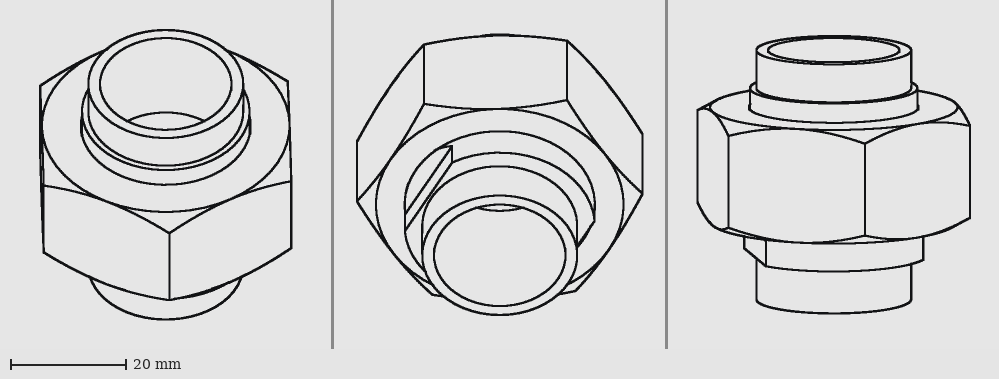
import cadquery as cq
import math


pipe_diameter = 26.9
bore_diameter = 22.85

overall_height = 44.0
lower_pipe_length = 8.0
exposed_body_height = 5.85
nut_height = 20.05
collar_rise = 3.4
nut_bottom = lower_pipe_length + exposed_body_height
nut_top = nut_bottom + nut_height
collar_top = nut_top + collar_rise

across_corners = 49.65
across_flats = across_corners * math.cos(math.radians(30))
chamfer_angle = 30.0
chamfer_drop = (across_corners - across_flats) / 2 * math.tan(math.radians(chamfer_angle))
lip_thickness = 3.95
lip_hole_diameter = 29.5
cavity_top = nut_top - lip_thickness

collar_diameter = 29.1
body_diameter = 33.0
flange_thickness = 3.95
seat_height = cavity_top - flange_thickness

flat_spacing = 28.0
flat_straight_height = 4.45
flat_runout = (body_diameter - flat_spacing) / 2


def cylinder(diameter, bottom, top):
    return cq.Workplane("XY").workplane(offset=bottom).circle(diameter / 2).extrude(top - bottom)


def make_nut():
    hexagon = (
        cq.Workplane("XY").workplane(offset=nut_bottom)
        .polygon(6, across_corners).extrude(nut_height)
    )
    envelope = (
        cq.Workplane("XZ")
        .moveTo(0, nut_bottom)
        .lineTo(across_flats / 2, nut_bottom)
        .lineTo(across_corners / 2, nut_bottom + chamfer_drop)
        .lineTo(across_corners / 2, nut_top - chamfer_drop)
        .lineTo(across_flats / 2, nut_top)
        .lineTo(0, nut_top)
        .close()
        .revolve(360, (0, 0, 0), (0, 1, 0))
    )
    cavity = cylinder(body_diameter, nut_bottom, cavity_top)
    lip_hole = cylinder(lip_hole_diameter, cavity_top, nut_top)
    return hexagon.intersect(envelope).cut(cavity).cut(lip_hole)


def make_tail_piece():
    flange = cylinder(body_diameter, seat_height, cavity_top)
    collar = cylinder(collar_diameter, cavity_top, collar_top)
    pipe = cylinder(pipe_diameter, collar_top, overall_height)
    bore = cylinder(bore_diameter, seat_height, overall_height)
    return flange.union(collar).union(pipe).cut(bore)


def make_flat_cutter():
    """Material outside the flat on the +Y side, with a sloped upper end."""
    flat_y = flat_spacing / 2
    slope_start = lower_pipe_length + flat_straight_height
    return (
        cq.Workplane("YZ")
        .moveTo(flat_y, lower_pipe_length)
        .lineTo(flat_y, slope_start)
        .lineTo(flat_y + flat_runout, slope_start + flat_runout)
        .lineTo(flat_y + flat_runout, lower_pipe_length)
        .close()
        .extrude(body_diameter / 2, both=True)
    )


def make_lower_body():
    pipe = cylinder(pipe_diameter, 0, lower_pipe_length)
    body = cylinder(body_diameter, lower_pipe_length, seat_height)
    for angle in (0, 180):
        body = body.cut(make_flat_cutter().rotate((0, 0, 0), (0, 0, 1), angle))
    return body.union(pipe).cut(cylinder(bore_diameter, 0, seat_height))


nut = make_nut()
tail_piece = make_tail_piece()
lower_body = make_lower_body()

result = cq.Compound.makeCompound([nut.val(), tail_piece.val(), lower_body.val()])